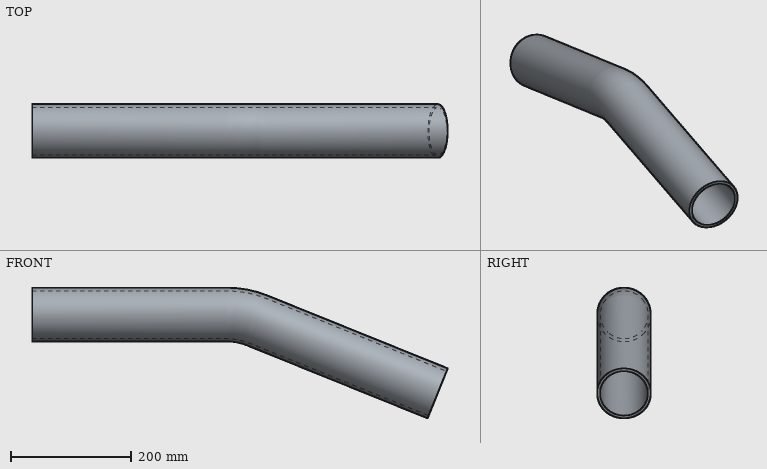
import cadquery as cq
import math

overall_length = 691.5
outer_diameter = 90.0
inner_diameter = 79.5
bend_angle = 22.0
bend_radius = 1.5 * outer_diameter

angle = math.radians(bend_angle)
bend_span = (bend_radius + outer_diameter / 2) * math.sin(angle)
leg_length = (overall_length - bend_span) / (1 + math.cos(angle))


def bend_point(turn):
    """Centreline point (X, Z) in the bend after turning by the given angle."""
    x = leg_length + bend_radius * math.sin(turn)
    z = -bend_radius * (1 - math.cos(turn))
    return x, z


bend_end = bend_point(angle)
far_end = (
    bend_end[0] + leg_length * math.cos(angle),
    bend_end[1] - leg_length * math.sin(angle),
)
centreline = (
    cq.Workplane("XZ")
    .lineTo(leg_length, 0)
    .threePointArc(bend_point(angle / 2), bend_end)
    .lineTo(*far_end)
)

result = (
    cq.Workplane("YZ")
    .circle(outer_diameter / 2)
    .circle(inner_diameter / 2)
    .sweep(centreline)
)